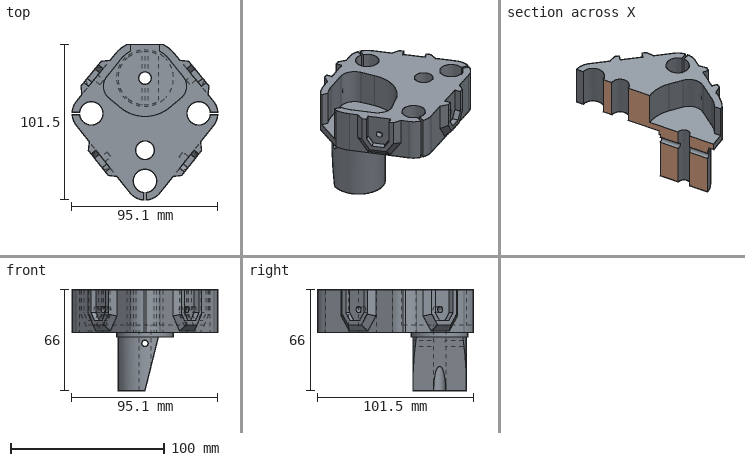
import cadquery as cq
import math


block_height = 28.0
wall = 5.0
pipe_bore_radius = 7.55
corner_radius = pipe_bore_radius + wall
crown_radius = 25.0
flat_y = 22.0
side_bore = (35.0, -23.0)
front_bore = (0.0, -67.0)
clamp_slot_width = 1.5
middle_hole_radius = 6.0
middle_hole_y = -47.0

pocket_floor_z = 5.0
pocket_front_radius = 25.0
pocket_side_radius = 10.0
pocket_side_centre = (17.1, -5.3)
pocket_mouth_width = 19.2

flange_radius = 18.5
flange_height = 3.0
spigot_radius = 17.5
spigot_length = 35.0
spigot_bottom_z = -flange_height - spigot_length
slant_top_x = spigot_radius / 2
axial_hole_radius = 4.0
cross_hole_radius = 2.0
cross_hole_drop = 4.0
cross_hole_z = -flange_height - cross_hole_drop

pad_height = 4.0
pad_rim = 3.0
recess_half_width = 7.5
recess_half_base = 4.0
recess_bottom_z = 8.0
recess_shoulder_z = 13.0
pin_hole_radius = 2.0
pin_hole_depth = 5.0
pin_hole_z = 15.0


def polar(centre, radius, angle):
    return (centre[0] + radius * math.cos(angle), centre[1] + radius * math.sin(angle))


def tangent_normal(start, end):
    """Angle of the outward normal of the outer tangent between two (centre, radius) circles."""
    (start_centre, start_radius), (end_centre, end_radius) = start, end
    dx = end_centre[0] - start_centre[0]
    dy = end_centre[1] - start_centre[1]
    return math.atan2(dy, dx) - math.acos((start_radius - end_radius) / math.hypot(dx, dy))


def belt_outline(circles, base_z):
    """Closed outline of arcs and tangents around circles listed anticlockwise."""
    count = len(circles)
    normals = [tangent_normal(circles[i], circles[(i + 1) % count]) for i in range(count)]
    first_centre, first_radius = circles[0]
    outline = cq.Workplane("XY", origin=(0, 0, base_z))
    outline = outline.moveTo(*polar(first_centre, first_radius, normals[0]))
    for i in range(1, count + 1):
        centre, radius = circles[i % count]
        angle_in = normals[i - 1]
        sweep = (normals[i % count] - angle_in) % (2 * math.pi)
        outline = outline.lineTo(*polar(centre, radius, angle_in))
        outline = outline.threePointArc(
            polar(centre, radius, angle_in + sweep / 2),
            polar(centre, radius, angle_in + sweep),
        )
    return outline.close()


def mirrored(point):
    return (-point[0], point[1])


crown_corner = ((0.0, 0.0), crown_radius)
left_corner = (mirrored(side_bore), corner_radius)
front_corner = (front_bore, corner_radius)
right_corner = (side_bore, corner_radius)


def make_block():
    corners = [crown_corner, left_corner, front_corner, right_corner]
    block = belt_outline(corners, 0).extrude(block_height)
    beyond_flat = (
        cq.Workplane("XY", origin=(0, flat_y + crown_radius / 2, 0))
        .rect(2 * crown_radius, crown_radius)
        .extrude(block_height)
    )
    return block.cut(beyond_flat)


def make_spigot():
    flange = cq.Workplane("XY").circle(flange_radius).extrude(-flange_height)
    cylinder = (
        cq.Workplane("XY", origin=(0, 0, spigot_bottom_z))
        .circle(spigot_radius)
        .extrude(spigot_length)
    )
    side_profile = (
        cq.Workplane("XZ")
        .polyline([
            (-spigot_radius, spigot_bottom_z),
            (0, spigot_bottom_z),
            (slant_top_x, -flange_height),
            (-spigot_radius, -flange_height),
        ])
        .close()
        .extrude(spigot_radius, both=True)
    )
    return flange.union(cylinder.intersect(side_profile))


def make_pocket():
    pocket_height = block_height - pocket_floor_z
    circles = [
        ((0.0, 0.0), crown_radius - wall),
        (mirrored(pocket_side_centre), pocket_side_radius),
        ((0.0, 0.0), pocket_front_radius),
        (pocket_side_centre, pocket_side_radius),
    ]
    chamber = belt_outline(circles, pocket_floor_z).extrude(pocket_height)
    mouth = (
        cq.Workplane("XY", origin=(0, flat_y / 2, pocket_floor_z))
        .rect(pocket_mouth_width, flat_y)
        .extrude(pocket_height)
    )
    return chamber.union(mouth)


def vertical_hole(x, y, radius):
    return cq.Workplane("XY").center(x, y).circle(radius).extrude(block_height)


def clamp_bore(centre, outward):
    """Pipe bore with a slot through the corner along outward, in degrees from +X."""
    reach = corner_radius + wall
    slot = (
        cq.Workplane("XY", origin=(*centre, 0))
        .transformed(rotate=(0, 0, outward))
        .center(reach / 2, 0)
        .rect(reach, clamp_slot_width)
        .extrude(block_height)
    )
    return vertical_hole(*centre, pipe_bore_radius).union(slot)


def shield(plane, offset):
    """Shield outline: the recess outline grown by offset, open-topped at the block top."""
    bevel = math.atan2(recess_half_width - recess_half_base, recess_shoulder_z - recess_bottom_z)
    half_width = recess_half_width + offset
    half_base = recess_half_base + offset * math.tan((math.pi / 2 - bevel) / 2)
    shoulder_z = recess_shoulder_z - offset * math.tan(bevel / 2)
    bottom_z = recess_bottom_z - offset
    return plane.polyline([
        (-half_width, block_height),
        (-half_width, shoulder_z),
        (-half_base, bottom_z),
        (half_base, bottom_z),
        (half_width, shoulder_z),
        (half_width, block_height),
    ]).close()


def side_frame(start, end):
    """Plane at the middle of a block side: local x along the side, y up, z outward."""
    normal = tangent_normal(start, end)
    start_point = polar(*start, normal)
    end_point = polar(*end, normal)
    return cq.Plane(
        origin=((start_point[0] + end_point[0]) / 2, (start_point[1] + end_point[1]) / 2, 0),
        xDir=(-math.sin(normal), math.cos(normal), 0),
        normal=(math.cos(normal), math.sin(normal), 0),
    )


def make_pad(frame):
    face = shield(cq.Workplane(frame), pad_rim + pad_height)
    return shield(face.workplane(offset=pad_height), pad_rim).loft(ruled=True)


def make_pad_cuts(frame):
    recess = shield(cq.Workplane(frame), 0).extrude(pad_height)
    pin_hole = (
        cq.Workplane(frame)
        .center(0, pin_hole_z)
        .circle(pin_hole_radius)
        .extrude(-pin_hole_depth)
    )
    return recess.union(pin_hole)


def make_spigot_holes():
    axial_hole = (
        cq.Workplane("XY", origin=(0, 0, spigot_bottom_z))
        .circle(axial_hole_radius)
        .extrude(block_height - spigot_bottom_z)
    )
    cross_hole = (
        cq.Workplane("XZ", origin=(0, 0, cross_hole_z))
        .circle(cross_hole_radius)
        .extrude(spigot_radius, both=True)
    )
    return axial_hole.union(cross_hole)


def both_sides(shape):
    return shape.union(shape.mirror("YZ"))


pad_frames = [side_frame(right_corner, crown_corner), side_frame(front_corner, right_corner)]

result = make_block().union(make_spigot())
for frame in pad_frames:
    result = result.union(both_sides(make_pad(frame)))
    result = result.cut(both_sides(make_pad_cuts(frame)))

result = result.cut(make_pocket())
result = result.cut(both_sides(clamp_bore(side_bore, 0)))
result = result.cut(clamp_bore(front_bore, -90))
result = result.cut(vertical_hole(0, middle_hole_y, middle_hole_radius))

result = result.cut(make_spigot_holes())